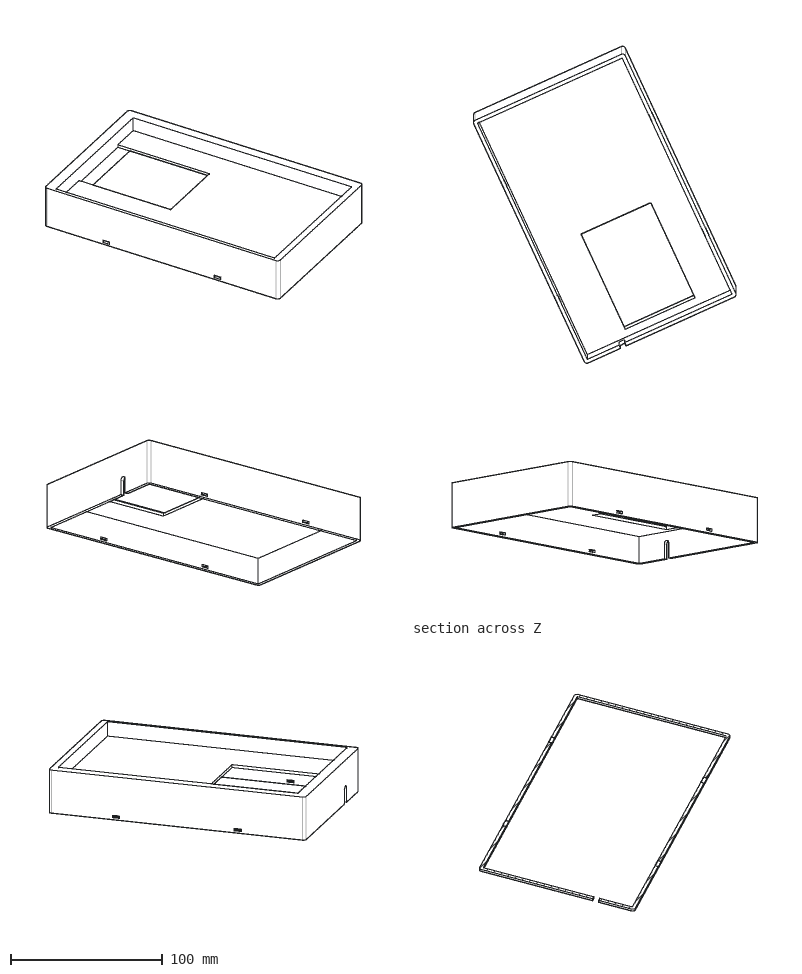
import cadquery as cq

length = 179.0
width = 110.0
height = 30.0
corner_radius = 2.0

left_rim = 7.5
right_rim = 4.5
front_rim = 2.3
back_rim = 7
recess_depth = 10.0

plate_thickness = 2.0
lower_wall = 2.5

window_length = 70.0
window_width = 50.6
window_front_gap = 30.0

notch_width = 4.0
notch_center_height = 10.0
notch_y = -27.5

slot_length = 5.0
slot_height = 1.5
slot_base = 1.5
slot_spacing = 85.0

left = -length / 2
front = -width / 2
recess_left = left + left_rim
recess_front = front + front_rim
recess_floor = height - recess_depth
plate_underside = recess_floor - plate_thickness


def block(x, y, z, size_x, size_y, size_z):
    """Box with its lowest corner at (x, y, z)."""
    return cq.Workplane("XY").box(size_x, size_y, size_z, centered=False).translate((x, y, z))


def make_body():
    return block(left, front, 0, length, width, height).edges("|Z").fillet(corner_radius)


def make_upper_recess():
    recess_length = length - left_rim - right_rim
    recess_width = width - front_rim - back_rim
    return block(recess_left, recess_front, recess_floor, recess_length, recess_width, recess_depth)


def make_lower_cavity():
    return block(
        left + lower_wall,
        front + lower_wall,
        0,
        length - 2 * lower_wall,
        width - 2 * lower_wall,
        plate_underside,
    )


def make_window():
    window_front = recess_front + window_front_gap
    return block(recess_left, window_front, plate_underside, window_length, window_width, plate_thickness)


def make_cable_notch():
    shank = block(left, notch_y - notch_width / 2, 0, lower_wall, notch_width, notch_center_height)
    round_top = (
        cq.Workplane("YZ", origin=(left, notch_y, notch_center_height))
        .circle(notch_width / 2)
        .extrude(lower_wall)
    )
    return shank.union(round_top)


def make_latch_slot(center_x):
    return block(center_x - slot_length / 2, front, slot_base, slot_length, width, slot_height)


result = make_body()
result = result.cut(make_upper_recess())
result = result.cut(make_lower_cavity())
result = result.cut(make_window())
result = result.cut(make_cable_notch())
for side in (-1, 1):
    result = result.cut(make_latch_slot(side * slot_spacing / 2))